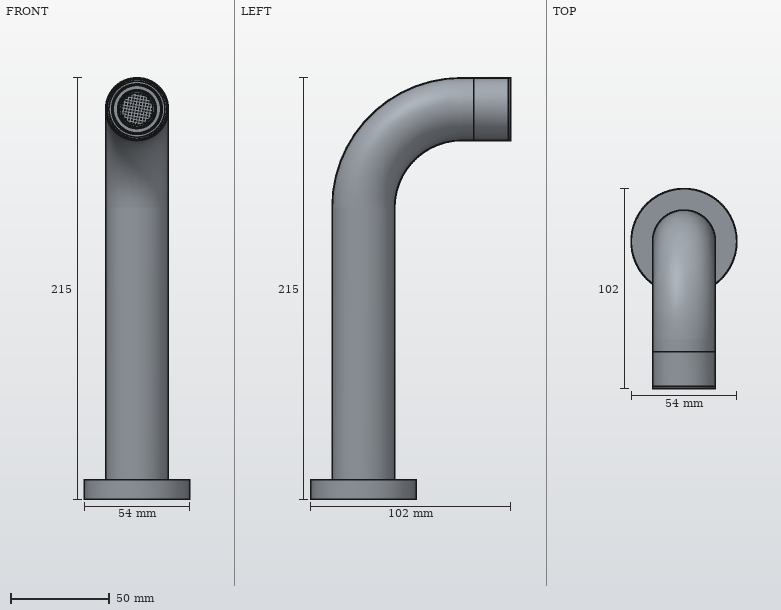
import cadquery as cq
import math

overall_height = 215.0
pipe_diameter = 32.0
bend_radius = 50.0
outlet_length = 25.0
flange_diameter = 54.0
flange_thickness = 10.0

aerator_diameter = 31.2
shoulder_recess = 1.0
aerator_depth = 18.7
nose_diameter = 30.5

collar_groove = (28.5, 25.8, 1.0)
collar_ledge = (25.8, 24.3, 0.5)
spray_groove = (19.8, 18.3, 0.5)

spray_recess_diameter = 16.3
spray_recess_depth = 0.5
hole_field_diameter = 15.7
hole_pitch = 1.5
hole_size = 0.2
hole_depth = 2.1
hole_grid_tilt = -10.8

outlet_axis_height = overall_height - pipe_diameter / 2
bend_start_height = outlet_axis_height - bend_radius
outlet_y = -(bend_radius + outlet_length)


def outlet_plane(depth):
    """Workplane across the outlet, sunk by depth from its rim, facing out along -Y."""
    origin = (0, outlet_y + depth, outlet_axis_height)
    return cq.Workplane(cq.Plane(origin=origin, xDir=(1, 0, 0), normal=(0, -1, 0)))


def make_flange():
    """Round foot plate that the upright pipe stands on."""
    return cq.Workplane("XY").circle(flange_diameter / 2).extrude(flange_thickness)


def make_spout():
    """Upright pipe with a quarter bend, ending in a straight outlet with a socket."""
    path = (
        cq.Workplane("YZ")
        .moveTo(0, flange_thickness)
        .lineTo(0, bend_start_height)
        .radiusArc((-bend_radius, outlet_axis_height), -bend_radius)
        .lineTo(outlet_y, outlet_axis_height)
    )
    pipe = cq.Workplane("XY", origin=(0, 0, flange_thickness)).circle(pipe_diameter / 2).sweep(path)
    socket = outlet_plane(0).circle(aerator_diameter / 2).extrude(-aerator_depth)
    return pipe.cut(socket)


def ring_groove(outer_diameter, inner_diameter, depth):
    """Ring-shaped cutter sunk from the outlet rim."""
    return outlet_plane(0).circle(outer_diameter / 2).circle(inner_diameter / 2).extrude(-depth)


def spray_hole_centers():
    """Points of the square grid that lie inside the hole field."""
    field_radius = hole_field_diameter / 2
    reach = math.floor(field_radius / hole_pitch)
    steps = range(-reach, reach + 1)
    grid = [(column * hole_pitch, row * hole_pitch) for column in steps for row in steps]
    return [center for center in grid if math.hypot(*center) <= field_radius]


def make_aerator():
    """Stepped round insert with ring grooves around a recessed spray face."""
    shoulder_length = aerator_depth - shoulder_recess
    shoulder = outlet_plane(shoulder_recess).circle(aerator_diameter / 2).extrude(-shoulder_length)
    nose = outlet_plane(0).circle(nose_diameter / 2).extrude(-shoulder_recess)
    spray_recess = outlet_plane(0).circle(spray_recess_diameter / 2).extrude(-spray_recess_depth)
    spray_holes = (
        outlet_plane(spray_recess_depth)
        .transformed(rotate=(0, 0, hole_grid_tilt))
        .pushPoints(spray_hole_centers())
        .rect(hole_size, hole_size)
        .extrude(-hole_depth)
    )
    body = shoulder.union(nose).cut(spray_recess).cut(spray_holes)
    for groove in (collar_groove, collar_ledge, spray_groove):
        body = body.cut(ring_groove(*groove))
    return body


flange = make_flange()
spout = make_spout()
aerator = make_aerator()
result = cq.Compound.makeCompound([flange.val(), spout.val(), aerator.val()])